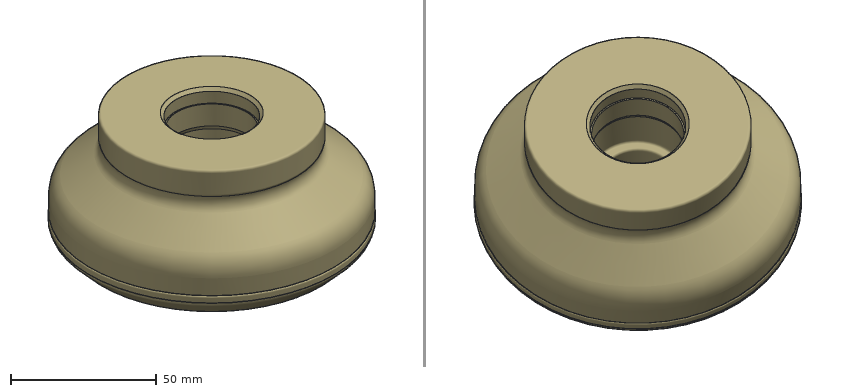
import cadquery as cq
import math

base_radius = 56.4
total_height = 50.0
split_height = 9.9

base_top_fillet = 0.7
base_rim_bottom = 7.5
base_step = 0.5
base_side_fillet = 1.5
base_bevel_radius = 50.0
base_bottom_fillet = 1.0
bevel_angle = math.radians(45)

hub_radius = 56.2
hub_bottom_chamfer = 0.3
shoulder_radius = 10.0
shoulder_center_height = 17.0
cone_angle = math.radians(37)
collar_radius = 39.0
collar_top_fillet = 1.0
collar_bottom_height = 40.4
neck_radius = 5.0
neck_start_height = 34.0
neck_end_height = 39.5

mouth_chamfer = 1.2
counterbore_radius = 16.5
counterbore_depth = 6.0
guide_radius = 15.9
guide_end_depth = 14.8
relief_radius = counterbore_radius
relief_start_depth = 16.3
floor_depth = 30.0
floor_corner_fillet = 0.9

screw_hole_radius = 12.9
screw_hole_fillet = 0.9


def revolve_profile(profile):
    """Turn a closed profile, drawn as (radius, height), about the Z axis."""
    return profile.close().revolve(360, (0, 0, 0), (0, 1, 0))


def arc_point(center, radius, angle):
    return (center[0] + radius * math.cos(angle), center[1] + radius * math.sin(angle))


def make_base_ring():
    side_radius = base_radius - base_step
    side_center_radius = side_radius - base_side_fillet
    bevel_end_radius = side_center_radius + base_side_fillet * math.sin(bevel_angle)
    bevel_end_height = (bevel_end_radius - base_bevel_radius) * math.tan(bevel_angle)
    side_center = (side_center_radius, bevel_end_height + base_side_fillet * math.cos(bevel_angle))
    bevel_normal = bevel_angle - math.pi / 2

    bottom_tangent_length = base_bottom_fillet * math.tan(bevel_angle / 2)
    bottom_center = (base_bevel_radius - bottom_tangent_length, base_bottom_fillet)

    profile = (
        cq.Workplane("XZ")
        .moveTo(screw_hole_radius, 0)
        .lineTo(bottom_center[0], 0)
        .threePointArc(
            arc_point(bottom_center, base_bottom_fillet, (bevel_normal - math.pi / 2) / 2),
            arc_point(bottom_center, base_bottom_fillet, bevel_normal),
        )
        .lineTo(*arc_point(side_center, base_side_fillet, bevel_normal))
        .threePointArc(
            arc_point(side_center, base_side_fillet, bevel_normal / 2),
            arc_point(side_center, base_side_fillet, 0),
        )
        .lineTo(side_radius, base_rim_bottom - base_step)
        .lineTo(base_radius, base_rim_bottom)
        .lineTo(base_radius, split_height - base_top_fillet)
        .radiusArc((base_radius - base_top_fillet, split_height), -base_top_fillet)
        .lineTo(screw_hole_radius, split_height)
    )
    return revolve_profile(profile)


def make_hub_blank():
    """Solid hub: shoulder, conical flank, concave neck and collar."""
    flank_normal = math.pi / 2 - cone_angle
    shoulder_center = (hub_radius - shoulder_radius, shoulder_center_height)
    flank_start = arc_point(shoulder_center, shoulder_radius, flank_normal)
    flank_end = (
        flank_start[0] - (neck_start_height - flank_start[1]) / math.tan(cone_angle),
        neck_start_height,
    )
    neck_center = arc_point(flank_end, neck_radius, flank_normal)

    neck_start_angle = math.pi + flank_normal
    neck_end_angle = math.pi - math.asin((neck_end_height - neck_center[1]) / neck_radius)
    neck_middle_angle = (neck_start_angle + neck_end_angle) / 2
    neck_end = arc_point(neck_center, neck_radius, neck_end_angle)

    inset = collar_radius - neck_end[0]
    edge_height = collar_bottom_height - neck_end_height
    edge_radius = (inset**2 + edge_height**2) / (2 * inset)

    profile = (
        cq.Workplane("XZ")
        .moveTo(0, split_height)
        .lineTo(hub_radius - hub_bottom_chamfer, split_height)
        .lineTo(hub_radius, split_height + hub_bottom_chamfer)
        .lineTo(hub_radius, shoulder_center_height)
        .threePointArc(arc_point(shoulder_center, shoulder_radius, flank_normal / 2), flank_start)
        .lineTo(*flank_end)
        .threePointArc(arc_point(neck_center, neck_radius, neck_middle_angle), neck_end)
        .radiusArc((collar_radius, collar_bottom_height), -edge_radius)
        .lineTo(collar_radius, total_height - collar_top_fillet)
        .radiusArc((collar_radius - collar_top_fillet, total_height), -collar_top_fillet)
        .lineTo(0, total_height)
    )
    return revolve_profile(profile)


def make_bore():
    """Solid to remove from the hub: chamfered mouth, guide bore, relief and screw hole."""
    floor_height = total_height - floor_depth
    counterbore_height = total_height - counterbore_depth
    profile = (
        cq.Workplane("XZ")
        .moveTo(0, total_height)
        .lineTo(counterbore_radius + mouth_chamfer, total_height)
        .lineTo(counterbore_radius, total_height - mouth_chamfer)
        .lineTo(counterbore_radius, counterbore_height)
        .lineTo(guide_radius, counterbore_height)
        .lineTo(guide_radius, total_height - guide_end_depth)
        .lineTo(relief_radius, total_height - relief_start_depth)
        .lineTo(relief_radius, floor_height + floor_corner_fillet)
        .radiusArc((relief_radius - floor_corner_fillet, floor_height), floor_corner_fillet)
        .lineTo(screw_hole_radius + screw_hole_fillet, floor_height)
        .radiusArc((screw_hole_radius, floor_height - screw_hole_fillet), -screw_hole_fillet)
        .lineTo(screw_hole_radius, split_height)
        .lineTo(0, split_height)
    )
    return revolve_profile(profile)


base_ring = make_base_ring()
hub = make_hub_blank().cut(make_bore())

result = cq.Compound.makeCompound([base_ring.val(), hub.solids().val()])